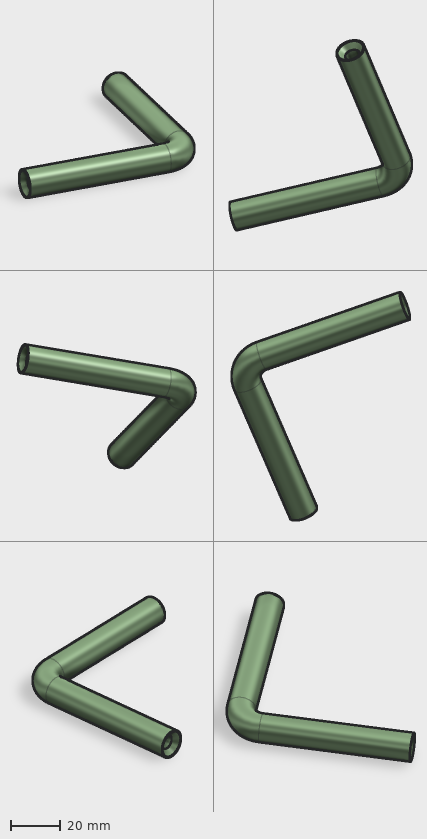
import cadquery as cq

overall_length = 78.5
rod_diameter = 12.0
bend_radius = 10.0
countersink_diameter = 11.0
hole_diameter = 6.0
hole_depth = 20.0

rod_radius = rod_diameter / 2
leg_length = overall_length - rod_radius
countersink_depth = (countersink_diameter - hole_diameter) / 2


def make_rod():
    """Round rod with one leg along -X, a 90 degree bend and one leg along -Y."""
    path = (
        cq.Workplane("XY")
        .moveTo(-leg_length, 0)
        .lineTo(-bend_radius, 0)
        .tangentArcPoint((0, -bend_radius), relative=False)
        .lineTo(0, -leg_length)
    )
    start_plane = cq.Plane(origin=(-leg_length, 0, 0), xDir=(0, 1, 0), normal=(1, 0, 0))
    return cq.Workplane(start_plane).circle(rod_radius).sweep(path)


def make_end_hole(end_point, inward):
    """Countersunk blind hole with a flat bottom, running from a rod end toward the bend."""
    mouth = cq.Vector(end_point)
    axis = cq.Vector(inward)
    hole = cq.Solid.makeCylinder(hole_diameter / 2, hole_depth, mouth, axis)
    countersink = cq.Solid.makeCone(
        countersink_diameter / 2, hole_diameter / 2, countersink_depth, mouth, axis
    )
    return cq.Workplane(hole).union(cq.Workplane(countersink))


rod_ends = [
    ((-leg_length, 0, 0), (1, 0, 0)),
    ((0, -leg_length, 0), (0, 1, 0)),
]

result = make_rod()
for end_point, inward in rod_ends:
    result = result.cut(make_end_hole(end_point, inward))